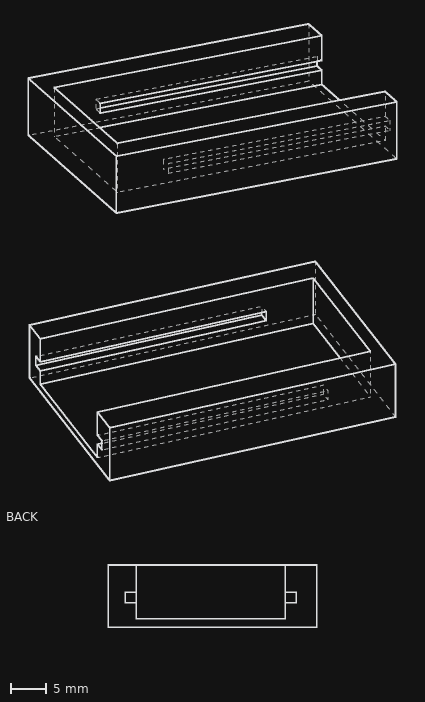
import cadquery as cq

width = 29.62
length = 43.99
height = 8.89

left_wall = 4.5
right_wall = 4.0
end_wall = 2.0
floor_thickness = 1.27

groove_bottom = 3.5
groove_height = 1.52
groove_depth = 1.6
groove_length = 34.75

pocket_left = -width / 2 + left_wall
pocket_right = width / 2 - right_wall
pocket_front = -length / 2 + end_wall
open_end = length / 2
groove_front = open_end - groove_length


def box_between(x_range, y_range, z_range):
    """Axis-aligned box spanning the given (low, high) ranges."""
    size_x = x_range[1] - x_range[0]
    size_y = y_range[1] - y_range[0]
    size_z = z_range[1] - z_range[0]
    corner = (x_range[0], y_range[0], z_range[0])
    return cq.Workplane("XY").box(size_x, size_y, size_z, centered=False).translate(corner)


def make_block():
    return box_between((-width / 2, width / 2), (-length / 2, length / 2), (0, height))


def make_pocket():
    return box_between(
        (pocket_left, pocket_right),
        (pocket_front, open_end),
        (floor_thickness, height),
    )


def make_grooves():
    """One bar as wide as both grooves; its middle lies inside the pocket."""
    return box_between(
        (pocket_left - groove_depth, pocket_right + groove_depth),
        (groove_front, open_end),
        (groove_bottom, groove_bottom + groove_height),
    )


result = make_block().cut(make_pocket()).cut(make_grooves())